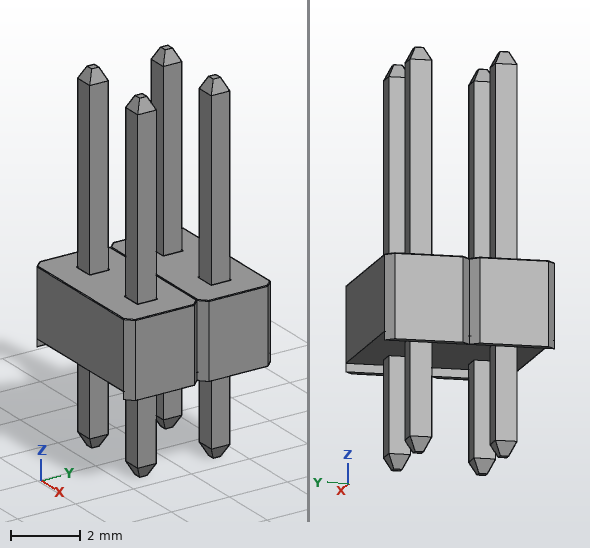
import cadquery as cq

columns = 2
rows = 2
total_height = 11.94
housing_width = 5.07
pitch_x = housing_width / columns
pitch_y = housing_width / rows

housing_height = 2.54
corner_chamfer = 0.25
top_edge_bevel = 0.025
seam_web = 0.002
foot_width = corner_chamfer + seam_web
channel_depth = 0.25

pin_width = 0.65
tip_flat = 0.25
tip_length = 0.4
pin_below_housing = 3.05
pin_bottom = -pin_below_housing

pin_entry_bevel = top_edge_bevel


def centered_positions(count, pitch):
    """Evenly spaced coordinates placed symmetrically about zero."""
    return [(i - (count - 1) / 2) * pitch for i in range(count)]


def frustum(bottom_z, bottom_width, top_width, height):
    """Square frustum standing on the plane z = bottom_z."""
    return (
        cq.Workplane("XY", origin=(0, 0, bottom_z))
        .rect(bottom_width, bottom_width)
        .workplane(offset=height)
        .rect(top_width, top_width)
        .loft(ruled=True)
    )


def housing_module():
    """One row of the housing: a block with chamfered vertical corners and a bevelled top rim."""
    return (
        cq.Workplane("XY")
        .box(housing_width, pitch_y, housing_height, centered=(True, True, False))
        .edges("|Z")
        .chamfer(corner_chamfer)
        .faces(">Z")
        .chamfer(top_edge_bevel)
    )


def underside_channel():
    """Channel running along Y that leaves a foot on each side of the housing."""
    return cq.Workplane("XY").box(
        housing_width - 2 * foot_width,
        rows * pitch_y,
        channel_depth,
        centered=(True, True, False),
    )


def pin():
    """Square pin tapered at both ends."""
    shaft_bottom = pin_bottom + tip_length
    shaft_length = total_height - 2 * tip_length
    lower_tip = frustum(pin_bottom, tip_flat, pin_width, tip_length)
    shaft = frustum(shaft_bottom, pin_width, pin_width, shaft_length)
    upper_tip = frustum(shaft_bottom + shaft_length, pin_width, tip_flat, tip_length)
    return lower_tip.union(shaft).union(upper_tip)


def pin_entry():
    """Shallow countersink that flares from the pin's section up to the housing top."""
    entry_width = pin_width + 2 * pin_entry_bevel
    return frustum(housing_height - pin_entry_bevel, pin_width, entry_width, pin_entry_bevel)


housing = cq.Workplane("XY")
for y in centered_positions(rows, pitch_y):
    housing = housing.union(housing_module().translate((0, y, 0)))
housing = housing.cut(underside_channel())

result = housing
for x in centered_positions(columns, pitch_x):
    for y in centered_positions(rows, pitch_y):
        result = result.cut(pin_entry().translate((x, y, 0)))
        result = result.union(pin().translate((x, y, 0)))